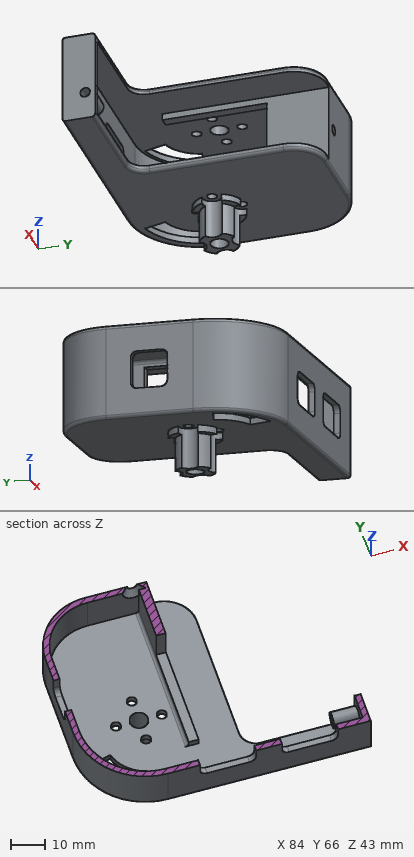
import cadquery as cq
import math

length = 84.0
depth = 66.0
height = 28.0
body_width = 48.5
arm_width = 10.0
wall = 2.0
edge_round = 1.0

front_corner = 22.0
back_left_corner = 17.5
back_right_corner = 10.0
arm_corner = 5.0

hub_x = front_corner
hub_y = 28.0
cap_base_radius = 13.0
cap_height = 3.0
flange_radius = 8.0
flange_height = 2.0
pin_radius = 6.0
pin_length = 12.0
axle_hole = 5.5
screw_hole = 2.9
screw_circle_radius = 7.0
flute_diameter = 6.0

slot_inner_radius = 12.0
slot_outer_radius = 19.0
slot_start = 195
slot_end = 255

window_round = 2.0
front_window_width = 17.0
front_window_height = 10.0
front_window_starts = (32.0, 56.95)
side_window = 11.2
side_window_y = 35.4

partition_left = 33.2
partition_right = 36.2
partition_start = 15.1
partition_post_y = 47.0
rail_height = 2.0
rail_fillet = 1.0

back_hole_x = 31.75
back_countersink = 7.0

tube_diameter = 5.0
tube_start = 74.25
tube_y = 7.0
tube_z = 8.6

cone_angle = 45

mid_height = height / 2
screw_positions = [
    (
        hub_x + screw_circle_radius * math.cos(math.radians(angle)),
        hub_y + screw_circle_radius * math.sin(math.radians(angle)),
    )
    for angle in (0, 90, 180, 270)
]


def box(x0, x1, y0, y1, z0, z1):
    """Box given by its limits along each axis."""
    return cq.Workplane("XY").box(x1 - x0, y1 - y0, z1 - z0, centered=False).translate((x0, y0, z0))


def cylinder(x, y, radius, z0, z1):
    """Upright cylinder between two heights."""
    return cq.Workplane("XY", origin=(x, y, z0)).circle(radius).extrude(z1 - z0)


def outline():
    """Plan outline of the body and arm."""
    return (
        cq.Workplane("XY")
        .moveTo(front_corner, 0)
        .lineTo(length, 0)
        .lineTo(length, arm_width)
        .lineTo(body_width + arm_corner, arm_width)
        .radiusArc((body_width, arm_width + arm_corner), arm_corner)
        .lineTo(body_width, depth - back_right_corner)
        .radiusArc((body_width - back_right_corner, depth), -back_right_corner)
        .lineTo(back_left_corner, depth)
        .radiusArc((0, depth - back_left_corner), -back_left_corner)
        .lineTo(0, front_corner)
        .radiusArc((front_corner, 0), -front_corner)
        .close()
    )


def slot_points(radius):
    """Start, middle and end of a slot edge at the given radius."""
    return [
        (
            front_corner + radius * math.cos(math.radians(a)),
            front_corner + radius * math.sin(math.radians(a)),
        )
        for a in (slot_start, (slot_start + slot_end) / 2, slot_end)
    ]


def housing():
    """Rounded L-shaped shell, open towards the inside of the L."""
    solid = outline().extrude(height)
    solid = solid.faces("<Z or >Z").edges("not >X").fillet(edge_round)
    inner_height = height - 2 * wall
    cavity = outline().offset2D(-wall).extrude(inner_height).translate((0, 0, wall))
    open_side = box(partition_right, length - wall, wall, depth + wall, wall, height - wall)
    return solid.cut(cavity).cut(open_side)


def rail_root(plate_z, tangent_z):
    """Concave fillet between a rail's outer side and the floor or ceiling."""
    back = depth - wall
    x_outer = partition_left - rail_fillet
    z_low, z_high = sorted((plate_z, tangent_z))
    strip = box(x_outer, partition_left, partition_start, back, z_low, z_high)
    hollow = (
        cq.Workplane("XZ", origin=(x_outer, partition_start, tangent_z))
        .circle(rail_fillet)
        .extrude(partition_start - back)
    )
    return strip.cut(hollow)


def partition():
    """Inner wall with a wide opening and rails on floor and ceiling."""
    panel = box(partition_left, partition_right, partition_start, depth - wall, wall, height - wall)
    opening_low = wall + rail_height
    opening_high = height - wall - rail_height
    opening = box(
        partition_left, partition_right, partition_start, partition_post_y, opening_low, opening_high
    )
    frame = panel.cut(opening)
    for z_outer, z_inner in ((wall, wall + rail_fillet), (height - wall, height - wall - rail_fillet)):
        frame = frame.union(rail_root(z_outer, z_inner))
    return frame


def arc_slot():
    """Curved slot passing through floor and ceiling."""
    inner = slot_points(slot_inner_radius)
    outer = slot_points(slot_outer_radius)
    return (
        cq.Workplane("XY")
        .moveTo(*inner[0])
        .lineTo(*outer[0])
        .threePointArc(outer[1], outer[2])
        .lineTo(*inner[2])
        .threePointArc(inner[1], inner[0])
        .close()
        .extrude(height)
    )


def window(x0, x1, y0, y1, z_size, axis):
    """Opening centred on the mid height, with its edges along the given axis rounded."""
    opening = box(x0, x1, y0, y1, mid_height - z_size / 2, mid_height + z_size / 2)
    return opening.edges("|" + axis).fillet(window_round)


def cap():
    """Conical cap standing on the ceiling."""
    return (
        cq.Workplane("XY", origin=(hub_x, hub_y, height))
        .circle(cap_base_radius)
        .extrude(cap_height, taper=cone_angle)
    )


def drive_pin():
    """Flanged pin under the floor, fluted where the screw heads pass."""
    pin = cylinder(hub_x, hub_y, flange_radius, -flange_height, 0)
    pin = pin.union(cylinder(hub_x, hub_y, pin_radius, -pin_length, 0))
    for x, y in screw_positions:
        pin = pin.cut(cylinder(x, y, flute_diameter / 2, -pin_length, 0))
    return pin


def back_screw_hole():
    """Countersunk hole through the back wall, widest on the inside."""
    plane = cq.Plane(origin=(back_hole_x, depth - wall, mid_height), xDir=(1, 0, 0), normal=(0, 1, 0))
    hole = cq.Workplane(plane).circle(screw_hole / 2).extrude(wall)
    sink_depth = (back_countersink - screw_hole) / 2
    sink = cq.Workplane(plane).circle(back_countersink / 2).extrude(sink_depth, taper=cone_angle)
    return hole.union(sink)


def tube_cylinder(diameter):
    """Cylinder along the screw tube axis, reaching the end of the arm."""
    return (
        cq.Workplane("YZ", origin=(tube_start, tube_y, tube_z))
        .circle(diameter / 2)
        .extrude(length - tube_start)
    )


result = housing().union(partition()).union(cap()).union(drive_pin())

top = height + cap_height
result = result.cut(cylinder(hub_x, hub_y, axle_hole / 2, -pin_length, top))
for x, y in screw_positions:
    result = result.cut(cylinder(x, y, screw_hole / 2, -pin_length, top))

result = result.cut(arc_slot())
side_window_start = side_window_y - side_window / 2
result = result.cut(window(0, wall, side_window_start, side_window_start + side_window, side_window, "X"))
for start in front_window_starts:
    end = start + front_window_width
    result = result.cut(window(start, end, 0, wall, front_window_height, "Y"))
result = result.cut(back_screw_hole())

result = result.union(tube_cylinder(tube_diameter)).cut(tube_cylinder(screw_hole))